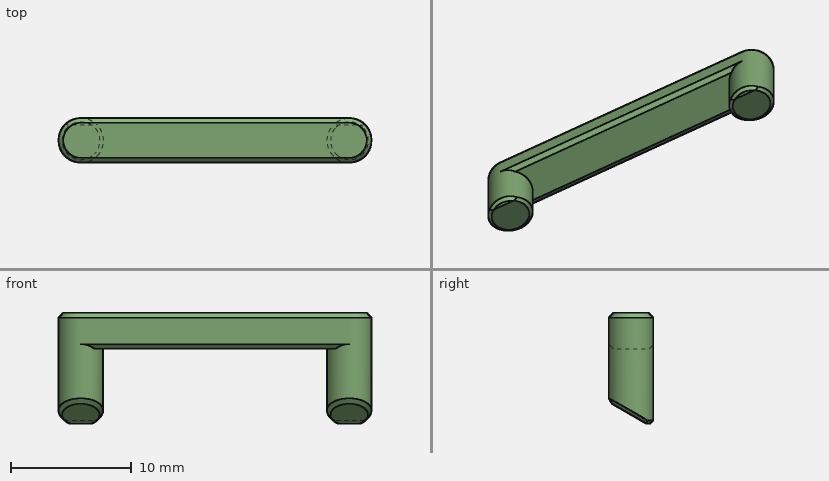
import cadquery as cq
import math

LEG_DIAMETER = 3.7
OVERALL_LENGTH = 25.9
OVERALL_HEIGHT = 9.2
LEG_SPACING = OVERALL_LENGTH - LEG_DIAMETER
LEG_RADIUS = LEG_DIAMETER / 2

BAR_THICKNESS = 3.0
BAR_CHAMFER = 0.4
BAR_BOTTOM = OVERALL_HEIGHT - BAR_THICKNESS

FOOT_ANGLE = 30.0
FOOT_CHAMFER = 0.3
FOOT_TIP_Y = 1.3
FOOT_RISE = (FOOT_TIP_Y + LEG_RADIUS) * math.tan(math.radians(FOOT_ANGLE))


def make_bar():
    """Straight grip with chamfered long edges, ending on the leg axes."""
    return (
        cq.Workplane("XY")
        .box(LEG_SPACING, LEG_DIAMETER, BAR_THICKNESS, centered=(True, True, False))
        .edges("|X")
        .chamfer(BAR_CHAMFER)
        .translate((0, 0, BAR_BOTTOM))
    )


def make_leg(x):
    """Round leg with a chamfered top and a slanted, flat-tipped foot."""
    slant = (
        cq.Workplane("YZ")
        .moveTo(FOOT_TIP_Y, 0)
        .lineTo(-LEG_RADIUS, FOOT_RISE)
        .lineTo(-LEG_RADIUS, 0)
        .close()
        .extrude(LEG_RADIUS, both=True)
    )
    leg = (
        cq.Workplane("XY")
        .circle(LEG_RADIUS)
        .extrude(OVERALL_HEIGHT)
        .faces(">Z")
        .chamfer(BAR_CHAMFER)
        .cut(slant)
    )
    foot_region = cq.selectors.BoxSelector(
        (-LEG_DIAMETER, -LEG_DIAMETER, -FOOT_RISE),
        (LEG_DIAMETER, LEG_DIAMETER, FOOT_RISE),
    )
    leg = leg.edges(foot_region).edges("not |X").chamfer(FOOT_CHAMFER)
    return leg.translate((x, 0, 0))


result = make_bar()
for leg_x in (-LEG_SPACING / 2, LEG_SPACING / 2):
    result = result.union(make_leg(leg_x))